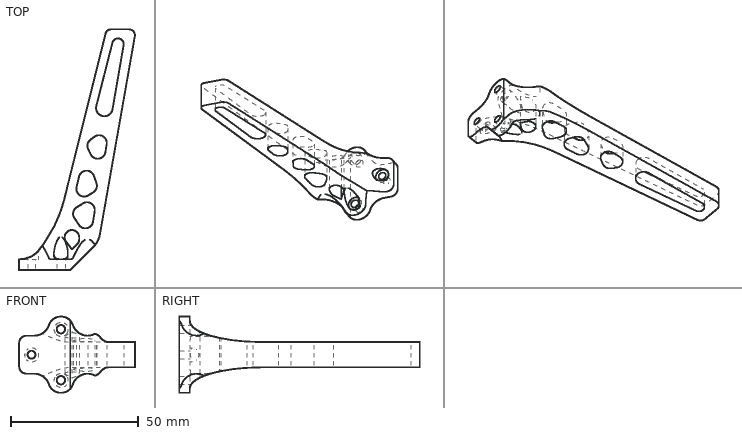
import cadquery as cq
import math

plate_thickness = 4.3
plate_half_height = 7.5
plate_corner_radius = 3.0
plate_half_flat = plate_half_height - plate_corner_radius
lobe_x = 16.45
lobe_z = 10.0
lobe_radius = 5.0
lobe_fillet_radius = 6.0

lobe_hole_diameter = 3.2
end_hole_diameter = 3.0
end_hole_x = 4.9
counterbore_diameter = 5.5
counterbore_length = 20.0

arm_end_y = 94.5
arm_half_thickness = 5.0
left_edge_angle = 14.0
left_curve_end = (17.75, 28.0)
left_curve_middle = (9.45, 10.0)
right_edge_angle = 10.0
right_edge_base_x = 29.3
chamfer_start_x = 20.1
chamfer_angle = 45.0
elbow_radius = 9.5
tip_corner_radius = 2.4

flare_end_y = 32.4
flare_start_z = 13.2

window_radius = 3.0
slot_circles = [(33.47, 63.60, 3.2), (38.82, 88.65, 2.2)]
window_centers = [
    [(30.87, 46.74), (31.39, 49.89), (29.87, 48.75)],
    [(25.55, 31.90), (27.52, 33.10), (26.50, 35.99)],
    [(26.03, 19.45), (26.68, 23.60), (24.25, 22.10)],
]
drop_x = 20.75
drop_radius = 2.8
drop_circles = [(drop_x, 8.2, 0.0), (drop_x, 12.1, drop_radius), (drop_x, 12.9, drop_radius)]

overshoot = 5.0


def polar(center, radius, angle):
    return (center[0] + radius * math.cos(angle), center[1] + radius * math.sin(angle))


def hull_outline(circles):
    """Closed wire of straight tangents and arcs wrapped around the circles; radius 0 gives a sharp point."""
    count = len(circles)
    normals = []
    for i in range(count):
        x1, y1, r1 = circles[i]
        x2, y2, r2 = circles[(i + 1) % count]
        heading = math.atan2(y2 - y1, x2 - x1)
        normals.append(heading - math.acos((r1 - r2) / math.hypot(x2 - x1, y2 - y1)))
    x, y, radius = circles[0]
    outline = cq.Workplane("XY").moveTo(*polar((x, y), radius, normals[0]))
    for i in range(1, count + 1):
        x, y, radius = circles[i % count]
        arrive = normals[i - 1]
        turn = (normals[i % count] - arrive) % (2 * math.pi)
        outline = outline.lineTo(*polar((x, y), radius, arrive))
        if radius > 0:
            middle = polar((x, y), radius, arrive + turn / 2)
            outline = outline.threePointArc(middle, polar((x, y), radius, arrive + turn))
    return outline.close()


def plate_prism():
    """Lobed plate outline, drawn for +Z, mirrored to -Z and extruded along the whole arm."""
    center_distance = lobe_radius + lobe_fillet_radius
    fillet_z = plate_half_height + lobe_fillet_radius
    fillet_dx = math.sqrt(center_distance**2 - (fillet_z - lobe_z) ** 2)
    contact = lobe_radius / center_distance
    contact_dx = contact * fillet_dx
    contact_z = lobe_z + contact * (fillet_z - lobe_z)
    right_fillet_x = lobe_x + fillet_dx
    fillet_mid_angle = (math.atan2(fillet_z - lobe_z, fillet_dx) + math.pi / 2) / 2
    left_fillet_mid = polar((lobe_x - fillet_dx, fillet_z), lobe_fillet_radius, -fillet_mid_angle)
    corner_center = (plate_corner_radius, plate_half_flat)
    right_limit = 2 * arm_end_y

    half = (
        cq.Workplane("XZ")
        .lineTo(0, plate_half_flat)
        .threePointArc(
            polar(corner_center, plate_corner_radius, math.radians(135)),
            (plate_corner_radius, plate_half_height),
        )
        .lineTo(lobe_x - fillet_dx, plate_half_height)
        .threePointArc(left_fillet_mid, (lobe_x - contact_dx, contact_z))
        .threePointArc((lobe_x, lobe_z + lobe_radius), (lobe_x + contact_dx, contact_z))
        .threePointArc(
            (right_fillet_x, plate_half_height),
            (right_fillet_x + lobe_fillet_radius, fillet_z),
        )
        .lineTo(right_limit, fillet_z)
        .lineTo(right_limit, 0)
        .close()
        .extrude(-arm_end_y)
    )
    return half.union(half.mirror("XY"))


def arm_prism():
    """Outline of arm and plate in XY, extruded over more than the full height."""
    left_slope = math.tan(math.radians(left_edge_angle))
    right_slope = math.tan(math.radians(right_edge_angle))
    chamfer_slope = math.tan(math.radians(chamfer_angle))
    elbow_y = (right_edge_base_x - chamfer_start_x) / (chamfer_slope - right_slope)
    elbow_x = right_edge_base_x + right_slope * elbow_y
    tip_left_x = left_curve_end[0] + left_slope * (arm_end_y - left_curve_end[1])
    tip_right_x = right_edge_base_x + right_slope * arm_end_y
    half_height = lobe_z + lobe_radius + overshoot

    body = (
        cq.Workplane("XY")
        .workplane(offset=-half_height)
        .lineTo(chamfer_start_x, 0)
        .lineTo(elbow_x, elbow_y)
        .lineTo(tip_right_x, arm_end_y)
        .lineTo(tip_left_x, arm_end_y)
        .lineTo(*left_curve_end)
        .spline(
            [left_curve_middle, (0, plate_thickness)],
            tangents=[(-left_slope, -1), (-1, 0)],
            includeCurrent=True,
        )
        .close()
        .extrude(2 * half_height)
    )
    body = body.faces(">Y").edges("|Z").fillet(tip_corner_radius)
    elbow_edge = cq.selectors.NearestToPointSelector((elbow_x, elbow_y, 0))
    return body.edges("|Z").edges(elbow_edge).fillet(elbow_radius)


def flare_prism():
    """Side profile: full-height plate, elliptical flare, then the constant arm thickness."""
    flare_length = flare_end_y - plate_thickness
    flare_height = flare_start_z - arm_half_thickness
    top_z = lobe_z + lobe_radius
    half = (
        cq.Workplane("YZ")
        .lineTo(0, top_z)
        .lineTo(plate_thickness, top_z)
        .lineTo(plate_thickness, flare_start_z)
        .ellipseArc(flare_length, flare_height, 180, 270, startAtCurrent=True, sense=1)
        .lineTo(arm_end_y, arm_half_thickness)
        .lineTo(arm_end_y, 0)
        .close()
        .extrude(arm_end_y)
    )
    return half.union(half.mirror("XY"))


def screw_hole(x, z, diameter):
    """Through hole along Y with a counterbore that clears everything behind the plate."""
    front = cq.Workplane("XZ", origin=(x, -overshoot, z))
    drill = front.circle(diameter / 2).extrude(-(plate_thickness + 2 * overshoot))
    seat = cq.Workplane("XZ", origin=(x, plate_thickness, z))
    return drill.union(seat.circle(counterbore_diameter / 2).extrude(-counterbore_length))


def window(circles):
    depth = lobe_z + lobe_radius
    return hull_outline(circles).extrude(depth, both=True)


result = plate_prism().intersect(arm_prism()).intersect(flare_prism())

for side in (-1, 1):
    result = result.cut(screw_hole(lobe_x, side * lobe_z, lobe_hole_diameter))
result = result.cut(screw_hole(end_hole_x, 0, end_hole_diameter))

result = result.cut(window(slot_circles))
for centers in window_centers:
    result = result.cut(window([(x, y, window_radius) for x, y in centers]))
result = result.cut(window(drop_circles))